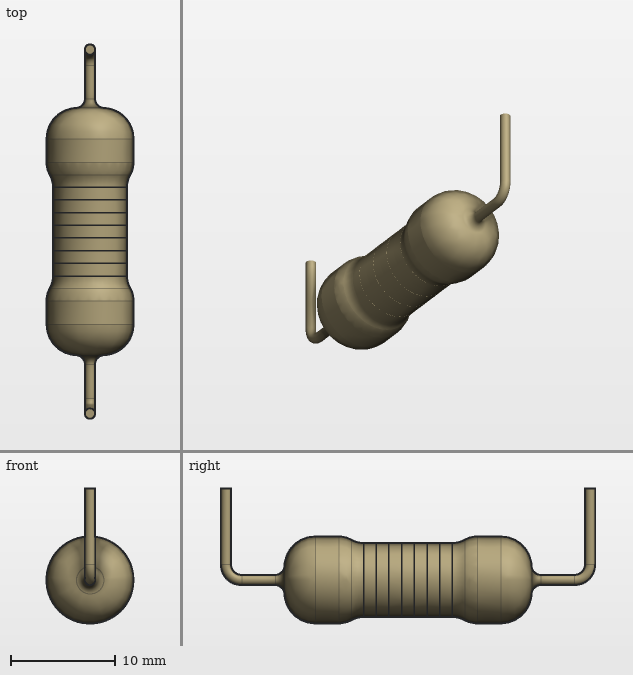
import cadquery as cq
import math

diagonal = math.sqrt(0.5)

lead_diameter = 1.0
lead_radius = lead_diameter / 2
lead_span = 36.0
lead_top = 8.8
bend_radius = 1.5

body_length = 23.8
cap_diameter = 8.4
cap_radius = cap_diameter / 2
dome_radius = 3.0
cap_straight_length = 2.25
waist_diameter = 7.14
waist_radius = waist_diameter / 2
blend_radius = 2.4
flare_radius = 0.85

band_diameter = 7.16
band_radius = band_diameter / 2
segment_count = 7

dome_start = body_length / 2 - dome_radius
cap_inner_end = dome_start - cap_straight_length
blend_rise = (cap_radius - waist_radius) / 2
blend_length = math.sqrt(2 * blend_radius * blend_rise - blend_rise**2)
blend_middle = cap_inner_end - blend_length
waist_end = blend_middle - blend_length
segment_length = 2 * waist_end / segment_count
lead_y = lead_span / 2 - lead_radius
bend_start = lead_y - bend_radius

dome_centre_radius = cap_radius - dome_radius
flare_centre_radius = lead_radius + flare_radius
contact_angle = math.asin((flare_centre_radius - dome_centre_radius) / (dome_radius + flare_radius))
flare_end = dome_start + (dome_radius + flare_radius) * math.cos(contact_angle)


def dome_point(angle):
    """Point (radius, y) on the dome at an angle from the Y axis."""
    return (
        dome_centre_radius + dome_radius * math.sin(angle),
        dome_start + dome_radius * math.cos(angle),
    )


def flare_point(angle):
    """Point (radius, y) on the flare at an angle from the inward Y direction."""
    return (
        flare_centre_radius - flare_radius * math.sin(angle),
        flare_end - flare_radius * math.cos(angle),
    )


def blend_point(tangent_radius, tangent_y, direction):
    """Middle point (radius, y) of the blend arc that leaves a straight side tangentially.

    A direction of 1 runs outward towards +Y, and -1 runs inward towards -Y.
    """
    half_angle = math.asin(blend_length / blend_radius) / 2
    return (
        tangent_radius + direction * blend_radius * (1 - math.cos(half_angle)),
        tangent_y + direction * blend_radius * math.sin(half_angle),
    )


def make_body_end():
    """Revolve the +Y end of the body: blend, cap, dome and lead flare."""
    quarter_turn = math.pi / 2
    blend_joint = (waist_radius + blend_rise, blend_middle)
    profile = (
        cq.Workplane("XY")
        .moveTo(0, waist_end)
        .lineTo(waist_radius, waist_end)
        .threePointArc(blend_point(waist_radius, waist_end, 1), blend_joint)
        .threePointArc(blend_point(cap_radius, cap_inner_end, -1), (cap_radius, cap_inner_end))
        .lineTo(cap_radius, dome_start)
        .threePointArc(dome_point((contact_angle + quarter_turn) / 2), dome_point(contact_angle))
        .threePointArc(flare_point((contact_angle + quarter_turn) / 2), flare_point(quarter_turn))
        .lineTo(0, flare_end)
        .close()
    )
    return profile.revolve(360, (0, 0, 0), (0, 1, 0))


def make_waist_segment(index):
    """One stretch of the waist, counted from the -Y end; even ones are painted."""
    radius = band_radius if index % 2 == 0 else waist_radius
    far_end = (index + 1) * segment_length - waist_end
    return cq.Workplane("XZ", origin=(0, far_end, 0)).circle(radius).extrude(segment_length)


def make_lead():
    """Lead on the +Y end: straight out of the body, then bent up along +Z."""
    bend_middle = (bend_start + bend_radius * diagonal, bend_radius * (1 - diagonal))
    path = (
        cq.Workplane("YZ")
        .moveTo(flare_end, 0)
        .lineTo(bend_start, 0)
        .threePointArc(bend_middle, (lead_y, bend_radius))
        .lineTo(lead_y, lead_top)
    )
    section = cq.Workplane("XZ", origin=(0, flare_end, 0)).circle(lead_radius)
    return section.sweep(path)


positive_end = make_body_end().union(make_lead())
negative_end = positive_end.mirror("XZ")
waist = make_waist_segment(0)
for segment in range(1, segment_count):
    waist = waist.union(make_waist_segment(segment))
result = waist.union(positive_end).union(negative_end)